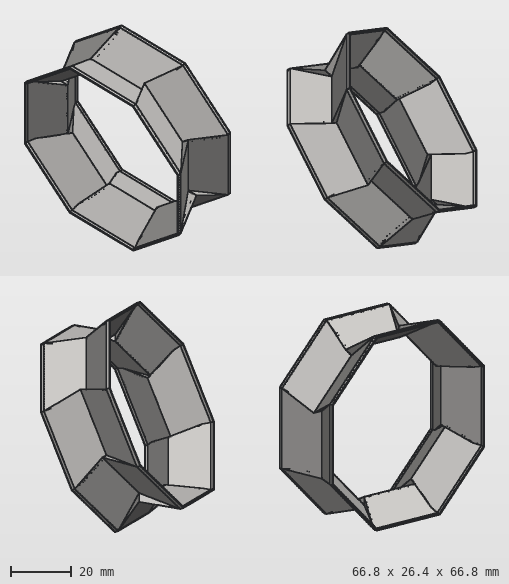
import cadquery as cq
import math

sides = 8
rim_apothem = 33.4
width = 26.4
rim_band = 1.2
waist_apothem = 26.4
fold_offset = 7.35
wall = 0.435

half_width = width / 2
step = 2 * math.pi / sides
half_side_ratio = math.tan(step / 2)
pinch_height = half_width - rim_band
panel_lean = math.atan2(rim_apothem - waist_apothem, pinch_height)
rim_corner_offset = rim_apothem * half_side_ratio
fold_lean = math.atan2(rim_corner_offset - fold_offset, pinch_height)

inner_rim_apothem = rim_apothem - wall
inner_waist_apothem = waist_apothem - wall / math.cos(panel_lean)
inner_fold_offset = fold_offset + wall / math.cos(fold_lean)
inner_pinch_height = (inner_rim_apothem - inner_waist_apothem) / math.tan(panel_lean)

inner_tip_height = (inner_waist_apothem * half_side_ratio - inner_fold_offset) / (
    math.tan(fold_lean) - half_side_ratio * math.tan(panel_lean)
)
inner_tip_apothem = inner_waist_apothem + inner_tip_height * math.tan(panel_lean)


def ring_point(x, y, z, index):
    """Turn a point of the top side clockwise about Y to side number index."""
    angle = index * step
    return cq.Vector(
        x * math.cos(angle) + z * math.sin(angle),
        y,
        z * math.cos(angle) - x * math.sin(angle),
    )


def octagon(apothem, y):
    """Corners of an octagon; corner i is at the left end of side i."""
    corner = apothem * half_side_ratio
    return [ring_point(-corner, y, apothem, i) for i in range(sides)]


def planar_face(points):
    return cq.Face.makeFromWires(cq.Wire.makePolygon(points, close=True))


def skin_solid(waist, fold, rings):
    """Solid inside one skin, symmetric about Y = 0.

    rings lists (apothem, distance along Y) of the octagons from the tips of the
    fold triangles out to the end face.
    """
    start_height = (waist - fold * math.sin(step)) / math.cos(step)
    start = fold * math.cos(step) - start_height * math.sin(step)
    waist_left = [ring_point(start, 0, waist, i) for i in range(sides)]
    waist_right = [ring_point(fold, 0, waist, i) for i in range(sides)]

    faces = []
    for direction in (-1, 1):
        octagons = [octagon(apothem, direction * y) for apothem, y in rings]
        tips = octagons[0]
        for i in range(sides):
            after = (i + 1) % sides
            faces.append(planar_face([waist_left[i], waist_right[i], tips[after], tips[i]]))
            faces.append(planar_face([waist_right[i], waist_left[after], tips[after]]))
            for near, far in zip(octagons, octagons[1:]):
                faces.append(planar_face([near[i], near[after], far[after], far[i]]))
        faces.append(planar_face(octagons[-1]))
    return cq.Solid.makeSolid(cq.Shell.makeShell(faces))


outer = skin_solid(
    waist_apothem, fold_offset, [(rim_apothem, pinch_height), (rim_apothem, half_width)]
)
inner = skin_solid(
    inner_waist_apothem,
    inner_fold_offset,
    [
        (inner_tip_apothem, inner_tip_height),
        (inner_rim_apothem, inner_pinch_height),
        (inner_rim_apothem, half_width),
    ],
)
result = cq.Workplane(outer).cut(cq.Workplane(inner)).clean()